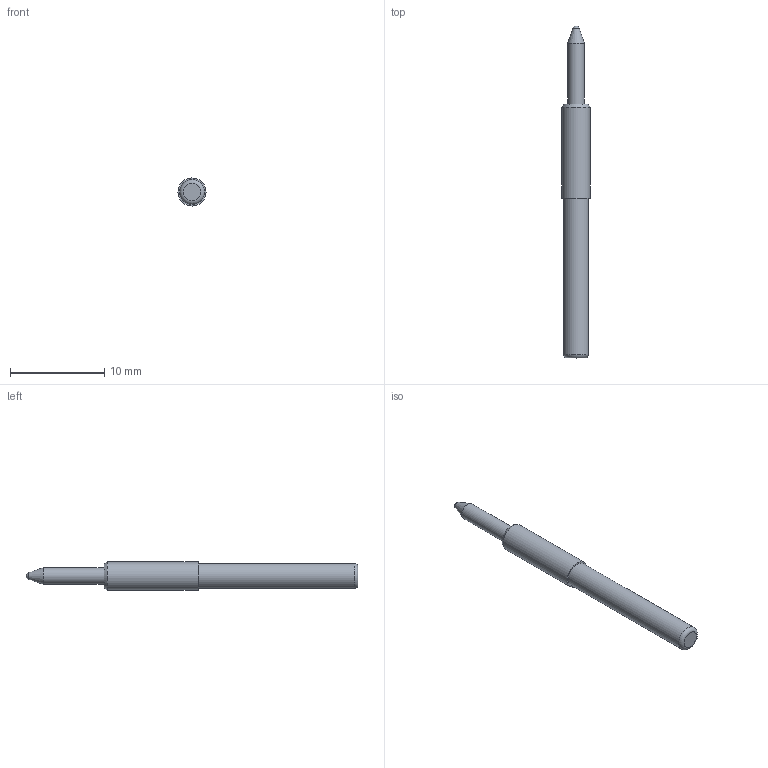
import cadquery as cq
import math

total_length = 35.3

plunger_length = 8.3
plunger_radius = 0.9
taper_length = 1.85
tip_radius = 0.35

collar_length = 10.0
collar_radius = 1.5
collar_chamfer_length = 0.35
collar_chamfer_depth = 0.2

barrel_length = total_length - plunger_length - collar_length
barrel_radius = 1.325
barrel_edge_radius = 0.4

rear_y = -barrel_length
collar_front_y = collar_length
tip_y = collar_front_y + plunger_length
taper_start_y = tip_y - taper_length
tip_center_y = tip_y - tip_radius


def tip_point(angle):
    """Point (radius, Y) on the tip ball, at an angle measured from the radial direction."""
    return (tip_radius * math.cos(angle), tip_center_y + tip_radius * math.sin(angle))


def taper_tangent_angle():
    """Angle on the tip ball where the taper line from the plunger edge touches it."""
    taper_run = tip_center_y - taper_start_y
    distance = math.hypot(plunger_radius, taper_run)
    direction = math.atan2(-taper_run, plunger_radius)
    return direction + math.acos(tip_radius / distance)


def rear_edge_midpoint():
    """Middle point (radius, Y) of the rounded rear edge of the barrel."""
    offset = barrel_edge_radius * math.sqrt(0.5)
    center_radius = barrel_radius - barrel_edge_radius
    center_y = rear_y + barrel_edge_radius
    return (center_radius + offset, center_y - offset)


def make_pin():
    """Revolve the half profile around the Y axis."""
    tangent_angle = taper_tangent_angle()
    arc_middle_angle = (tangent_angle + math.pi / 2) / 2
    profile = (
        cq.Workplane("XY")
        .moveTo(0, rear_y)
        .lineTo(barrel_radius - barrel_edge_radius, rear_y)
        .threePointArc(rear_edge_midpoint(), (barrel_radius, rear_y + barrel_edge_radius))
        .lineTo(barrel_radius, 0)
        .lineTo(collar_radius, 0)
        .lineTo(collar_radius, collar_front_y - collar_chamfer_length)
        .lineTo(collar_radius - collar_chamfer_depth, collar_front_y)
        .lineTo(plunger_radius, collar_front_y)
        .lineTo(plunger_radius, taper_start_y)
        .lineTo(*tip_point(tangent_angle))
        .threePointArc(tip_point(arc_middle_angle), (0, tip_y))
        .close()
    )
    return profile.revolve(360, (0, 0, 0), (0, 1, 0))


result = make_pin()